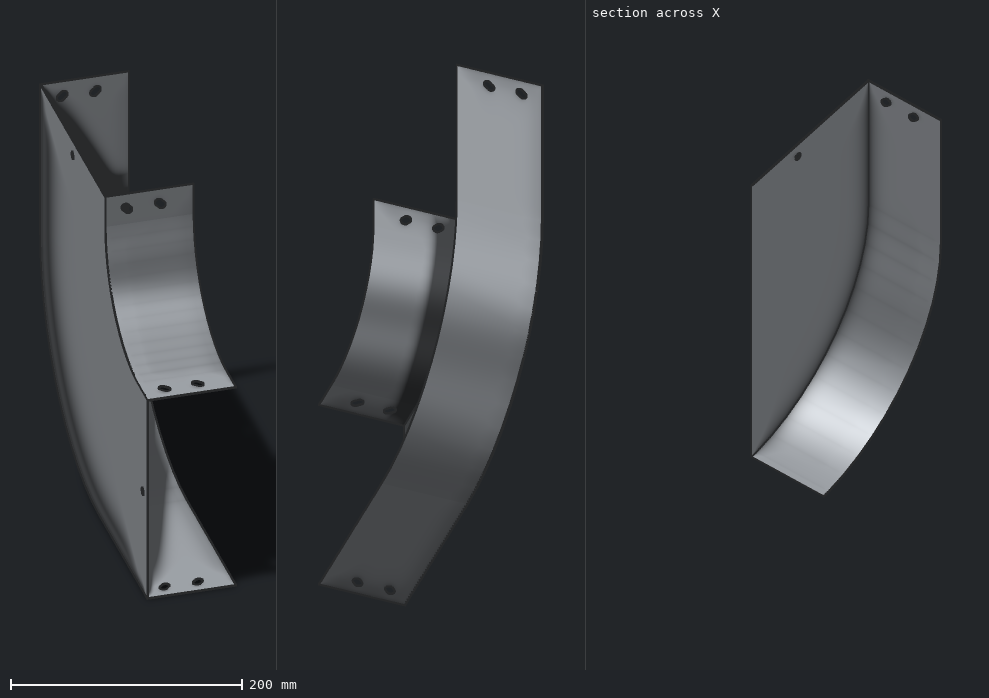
import cadquery as cq
import math

size = 330.0
depth = 80.0
thickness = 1.0
outer_straight = 150.0
inner_straight = 30.0
inner_radius = 100.0

outer_radius = size - outer_straight
channel_width = size - inner_straight - inner_radius

hole_diameter = 7.0
end_margin = 15.0
slot_pitch = 30.0
slot_centre_span = 4.0
slot_length = slot_centre_span + hole_diameter
slot_tilt = 45.0
cutter_depth = 4 * thickness


def channel_profile(offset):
    """Plan outline of the bend with both side walls moved inward by offset."""
    low = offset
    high = channel_width - offset
    outer_r = outer_radius - offset
    inner_r = inner_radius + offset
    outer_mid = outer_radius - outer_r * math.sqrt(0.5)
    inner_centre = channel_width + inner_radius
    inner_mid = inner_centre - inner_r * math.sqrt(0.5)
    return (
        cq.Workplane("XZ")
        .moveTo(low, size)
        .lineTo(low, outer_radius)
        .threePointArc((outer_mid, outer_mid), (outer_radius, low))
        .lineTo(size, low)
        .lineTo(size, high)
        .lineTo(inner_centre, high)
        .threePointArc((inner_mid, inner_mid), (high, inner_centre))
        .lineTo(high, size)
        .close()
    )


def make_channel():
    """Plate at Y = 0 with walls rising to Y = depth; both ends are open."""
    body = channel_profile(0).extrude(-depth)
    cavity = channel_profile(thickness).extrude(-depth).translate((0, thickness, 0))
    return body.cut(cavity)


def plate_hole(x, z):
    return (
        cq.Workplane("XZ", origin=(x, -thickness, z))
        .circle(hole_diameter / 2)
        .extrude(-cutter_depth)
    )


def wall_slot(plane, centre, angle):
    """Tilted slot cutter, centred through a wall parallel to the given plane."""
    return (
        cq.Workplane(plane, origin=centre)
        .slot2D(slot_length, hole_diameter, angle)
        .extrude(cutter_depth / 2, both=True)
    )


result = make_channel()

end_position = size - end_margin
result = result.cut(plate_hole(channel_width / 2, end_position))
result = result.cut(plate_hole(end_position, channel_width / 2))

wall_middles = (
    (thickness / 2, slot_tilt),
    (channel_width - thickness / 2, -slot_tilt),
)
for slot_number in (1, 2):
    slot_y = depth - slot_number * slot_pitch
    for wall, tilt in wall_middles:
        result = result.cut(wall_slot("YZ", (wall, slot_y, end_position), tilt))
        result = result.cut(wall_slot("XY", (end_position, slot_y, wall), -tilt))